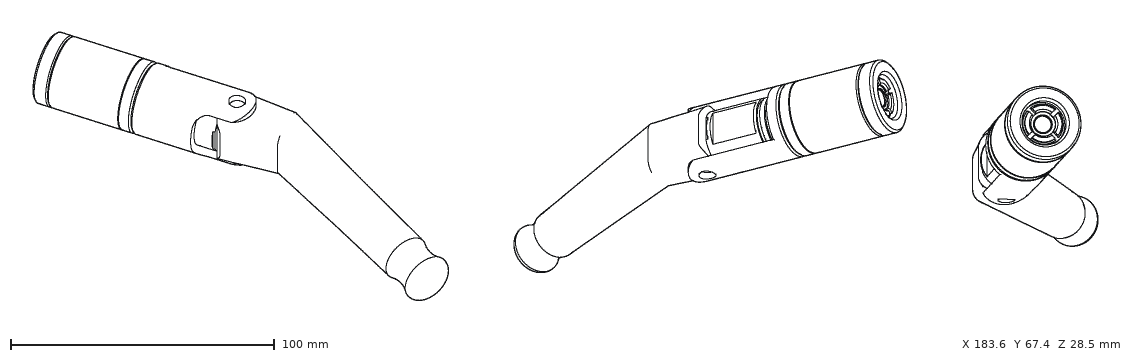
import cadquery as cq
import math


body_diameter = 28.5
cap_end = 6.2
barrel_end = 35.8
ring_end = 40.8
window_start = 45.5
fork_end = 86.0

front_chamfer = 1.0
cap_joint_chamfer = 0.5
barrel_joint_chamfer = 0.2
ring_joint_chamfer = 0.7

mouth_diameter = 19.1
cap_bore_diameter = 17.0
mouth_depth = 1.3
collet_diameter = 14.3
collet_rim_diameter = 15.6
collet_face = 2.2
collet_rim_face = 3.3
collet_slot_width = 1.7
collet_slot_depth = 1.8
collet_slot_count = 4
collet_bore_chamfer = 0.7
nozzle_diameter = 9.5
nozzle_face = 3.5
nozzle_mouth_diameter = 7.2
nozzle_mouth_depth = 0.5
nozzle_cone_diameter = 6.5
nozzle_cone_depth = 1.8

fork_bore_diameter = 22.0
neck_diameter = 20.0
slot_width = 22.4
slot_start = 66.0
slot_corner_radius = 5.5
slot_edge_y = math.sqrt(body_diameter**2 - slot_width**2) / 2
fork_tip_radius = 9.7
pivot_x = 79.0
pivot_diameter = 6.5

plunger_start = 48.3
plunger_end = 73.3
plunger_tail_height = neck_diameter
plunger_groove_start = 50.3
plunger_groove_width = 1.5
plunger_groove_depth = 0.7
plunger_window_start = 53.0
plunger_window_end = 71.8

lever_start = 74.2
lever_width = slot_width
lever_root_half_height = 11.4
lever_bend_half_height = 9.2
lever_edge_radius = 5.5
lever_nose_radius = 3.9
bend_x = 99.7
bend_y = 0.4
bend_angle = 30
grip_length = 76.4
grip_end_radius = 9.4
waist_position = 82.6
waist_radius = 8.0
flange_radius = 9.7
flange_start = 89.2
flange_end = 90.0
knob_end_position = 92.5
knob_end_radius = 6.2


def cylinder(diameter, start, end):
    """Solid cylinder on the X axis between two stations."""
    return cq.Workplane("YZ", origin=(start, 0, 0)).circle(diameter / 2).extrude(end - start)


def box(x_range, y_range, z_range):
    """Box between two limits along each axis."""
    sizes = [high - low for low, high in (x_range, y_range, z_range)]
    corner = (x_range[0], y_range[0], z_range[0])
    return cq.Workplane("XY", origin=corner).box(*sizes, centered=False)


def make_cap():
    """Front cap with a conical mouth leading into its bore."""
    cap = cylinder(body_diameter, 0, cap_end)
    cap = cap.faces("<X").chamfer(front_chamfer).faces(">X").chamfer(cap_joint_chamfer)
    mouth = (
        cq.Workplane("XY")
        .polyline([
            (0, 0),
            (0, mouth_diameter / 2),
            (mouth_depth, cap_bore_diameter / 2),
            (cap_end, cap_bore_diameter / 2),
            (cap_end, 0),
        ])
        .close()
        .revolve(360, (0, 0), (1, 0))
    )
    return cap.cut(mouth)


def make_collet():
    """Stepped ring seated in the cap bore, its face split by diagonal slots."""
    collet = (
        cylinder(collet_diameter, collet_face, cap_end)
        .union(cylinder(collet_rim_diameter, collet_rim_face, cap_end))
        .union(cylinder(cap_bore_diameter, collet_face + collet_slot_depth, cap_end))
        .cut(cylinder(nozzle_diameter, collet_face, cap_end))
    )
    collet = collet.faces("<X").edges("%CIRCLE").edges(cq.selectors.RadiusNthSelector(0))
    collet = collet.chamfer(collet_bore_chamfer)
    for index in range(collet_slot_count):
        slot = box(
            (collet_face, collet_face + collet_slot_depth),
            (0, cap_bore_diameter / 2),
            (-collet_slot_width / 2, collet_slot_width / 2),
        )
        angle = (index + 0.5) * 360 / collet_slot_count
        collet = collet.cut(slot.rotate((0, 0, 0), (1, 0, 0), angle))
    return collet


def make_nozzle():
    """Plug inside the collet with a stepped, cone-bottomed hole."""
    cone_start = nozzle_face + nozzle_mouth_depth
    hole = (
        cq.Workplane("XY")
        .polyline([
            (nozzle_face, 0),
            (nozzle_face, nozzle_mouth_diameter / 2),
            (cone_start, nozzle_mouth_diameter / 2),
            (cone_start, nozzle_cone_diameter / 2),
            (cone_start + nozzle_cone_depth, 0),
        ])
        .close()
        .revolve(360, (0, 0), (1, 0))
    )
    return cylinder(nozzle_diameter, nozzle_face, cap_end).cut(hole)


def make_barrel():
    """Plain grip barrel behind the cap."""
    barrel = cylinder(body_diameter, cap_end, barrel_end)
    return barrel.faces("<X").chamfer(cap_joint_chamfer).faces(">X").chamfer(barrel_joint_chamfer)


def make_ring():
    """Short ring between the barrel and the fork."""
    ring = cylinder(body_diameter, barrel_end, ring_end)
    return ring.faces("<X").chamfer(barrel_joint_chamfer).faces(">X").chamfer(ring_joint_chamfer)


def make_fork():
    """Bored body, slotted from both sides so that two round-ended pivot ears remain."""
    body_radius = body_diameter / 2
    half_slot = slot_width / 2
    fork = cylinder(body_diameter, ring_end, fork_end).faces("<X").chamfer(ring_joint_chamfer)
    window = box((window_start, fork_end), (0, body_radius), (-half_slot, half_slot))
    lever_slot = box((slot_start, fork_end), (-body_radius, 0), (-half_slot, half_slot))
    lever_slot = lever_slot.edges("|Y and <X").fillet(slot_corner_radius)
    return (
        fork.intersect(make_ear_outline())
        .cut(cylinder(neck_diameter, ring_end, window_start))
        .cut(cylinder(fork_bore_diameter, window_start, fork_end))
        .cut(window)
        .cut(lever_slot)
        .cut(make_pivot_hole())
    )


def make_ear_outline():
    """Prism along Z whose rounded end shapes the tips of the fork ears."""
    body_radius = body_diameter / 2
    tip_center = fork_end - fork_tip_radius
    tip_x = tip_center + math.sqrt(fork_tip_radius**2 - slot_edge_y**2)
    return (
        cq.Workplane("XY", origin=(0, 0, -body_radius))
        .moveTo(ring_end, -body_radius)
        .lineTo(tip_x, -body_radius)
        .lineTo(tip_x, -slot_edge_y)
        .threePointArc((fork_end, 0), (tip_x, slot_edge_y))
        .lineTo(tip_x, body_radius)
        .lineTo(ring_end, body_radius)
        .close()
        .extrude(body_diameter)
    )


def make_pivot_hole():
    """Through hole along Z shared by the fork ears and the lever."""
    hole = cq.Workplane("XY", origin=(pivot_x, 0, -body_diameter / 2))
    return hole.circle(pivot_diameter / 2).extrude(body_diameter)


def make_plunger():
    """Necked plunger in the fork bore with a ring groove, a side window and a flat-sided tail."""
    radius = fork_bore_diameter / 2
    groove_end = plunger_groove_start + plunger_groove_width
    groove = cylinder(fork_bore_diameter, plunger_groove_start, groove_end).cut(
        cylinder(fork_bore_diameter - 2 * plunger_groove_depth, plunger_groove_start, groove_end)
    )
    window = box(
        (plunger_window_start, plunger_window_end),
        (slot_edge_y, radius),
        (-radius, radius),
    )
    tail_flats = box(
        (plunger_end, lever_start),
        (-plunger_tail_height / 2, plunger_tail_height / 2),
        (-radius, radius),
    )
    tail = cylinder(fork_bore_diameter, plunger_end, lever_start).intersect(tail_flats)
    return (
        cylinder(neck_diameter, ring_end, plunger_start)
        .union(cylinder(fork_bore_diameter, plunger_start, plunger_end))
        .union(tail)
        .cut(groove)
        .cut(window)
    )


def lever_section(half_height):
    """Rounded rectangle of the lever in a YZ plane."""
    return cq.Sketch().rect(2 * half_height, lever_width).vertices().fillet(lever_edge_radius)


def make_lever_root():
    """Tapered root with rounded long edges, a rounded nose and the pivot hole."""
    root = (
        cq.Workplane("YZ", origin=(lever_start, 0, 0))
        .placeSketch(
            lever_section(lever_root_half_height),
            lever_section(lever_bend_half_height).moved(cq.Location(cq.Vector(0, 0, bend_x - lever_start))),
        )
        .loft()
    )
    nose = box(
        (lever_start, bend_x),
        (-lever_root_half_height, lever_root_half_height),
        (-lever_width / 2, lever_width / 2),
    )
    nose = nose.edges("|Z and <X").fillet(lever_nose_radius)
    return root.intersect(nose).cut(make_pivot_hole())


def make_grip():
    """Hand grip blending from the rectangular root to a round end, bent in the XY plane."""
    run = grip_length * math.cos(math.radians(bend_angle))
    drop = grip_length * math.sin(math.radians(bend_angle))
    end_turn = cq.Location(cq.Vector(bend_y - drop, 0, run), cq.Vector(0, 1, 0), -bend_angle)
    return (
        cq.Workplane("YZ", origin=(bend_x, 0, 0))
        .placeSketch(
            lever_section(lever_bend_half_height),
            cq.Sketch().circle(grip_end_radius).moved(end_turn),
        )
        .loft()
    )


def make_knob():
    """Waisted, flanged end of the grip, turned about the bent axis."""
    rim_length = knob_end_position - flange_end
    rim_depth = flange_radius - knob_end_radius
    rim_fraction = math.sqrt(0.5)
    knob = (
        cq.Workplane("XY")
        .moveTo(grip_length, 0)
        .lineTo(grip_length, grip_end_radius)
        .threePointArc((waist_position, waist_radius), (flange_start, flange_radius))
        .lineTo(flange_end, flange_radius)
        .threePointArc(
            (flange_end + rim_length * rim_fraction, knob_end_radius + rim_depth * rim_fraction),
            (knob_end_position, knob_end_radius),
        )
        .lineTo(knob_end_position, 0)
        .close()
        .revolve(360, (0, 0), (1, 0))
    )
    return knob.rotate((0, 0, 0), (0, 0, 1), -bend_angle).translate((bend_x, bend_y, 0))


def make_lever():
    """Complete lever: root, grip and knob."""
    return make_lever_root().union(make_grip()).union(make_knob())


cap = make_cap()
collet = make_collet()
nozzle = make_nozzle()
barrel = make_barrel()
ring = make_ring()
fork = make_fork()
plunger = make_plunger()
lever = make_lever()

result = cq.Compound.makeCompound([
    cap.val(),
    collet.val(),
    nozzle.val(),
    barrel.val(),
    ring.val(),
    fork.val(),
    plunger.val(),
    lever.val(),
])